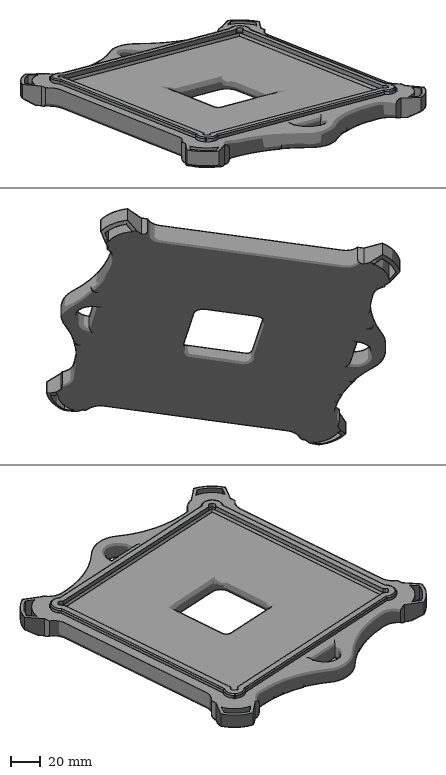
import cadquery as cq
import math

plate_half = 90.0
plate_top = 14.0
top_round = 4.0
bottom_round = 3.0

overall_width = 205.4
ear_tip = (87.5, overall_width / 2)
ear_root = (76.4, 95.0)
shoulder_start = 72.2
neck_end = 62.8
ear_centre = (77.0, 77.0)
slot_wall = 2.5
slot_inner_radius = 20.0
ear_bevel_depth = 7.0
ear_bevel_height = 4.0

tab_reach = 111.0
tab_radius = 20.0
flank_radius = 75.0
tab_hole_radius = 11.0
tab_bottom_round = 4.0
tab_round_half_length = 28.5

tray_half = 77.7
tray_floor = 12.0
tray_wall_run = 0.9
rim_top = 17.0
rim_width = 5.0
rim_bevel = 0.9
relief_offset = 77.0
relief_radius = 2.5

window_half = 23.5
window_top_round = 6.5
window_bottom_round = 4.0
window_corner_radius = 6.2

ear_radius = math.dist(ear_centre, ear_tip)
neck_run = shoulder_start - neck_end
neck_rise = ear_root[1] - plate_half
neck_radius = (neck_run ** 2 + neck_rise ** 2) / (2 * neck_rise)
neck_centre = (neck_end, plate_half + neck_radius)
tab_centre = (tab_reach - tab_radius, 0)
flank_x = plate_half + flank_radius
flank_y = math.sqrt((flank_radius + tab_radius) ** 2 - (flank_x - tab_centre[0]) ** 2)
flank_centre = (flank_x, flank_y)
tab_share = tab_radius / (tab_radius + flank_radius)
tab_joint = (tab_centre[0] + tab_share * (flank_x - tab_centre[0]), tab_share * flank_y)


def swap(point):
    """Mirror a point about the diagonal X = Y."""
    return (point[1], point[0])


def arc_middle(centre, start, end):
    """Middle point of the short arc from start to end about a centre."""
    chord_x = (start[0] + end[0]) / 2 - centre[0]
    chord_y = (start[1] + end[1]) / 2 - centre[1]
    stretch = math.dist(centre, start) / math.hypot(chord_x, chord_y)
    return (centre[0] + stretch * chord_x, centre[1] + stretch * chord_y)


def mirrored(solid):
    """Join a solid of the +X +Y quarter with its three mirror images."""
    pair = solid.union(solid.mirror("YZ"))
    return pair.union(pair.mirror("XZ")).clean()


def square(half, bottom, top):
    """Square block centred on the Z axis."""
    return cq.Workplane("XY", origin=(0, 0, bottom)).rect(2 * half, 2 * half).extrude(top - bottom)


def edges_within(half_x, half_y, z):
    """Selector of edges whose centres lie in a flat box at height z."""
    margin = 0.2
    return cq.selectors.BoxSelector((-half_x, -half_y, z - margin), (half_x, half_y, z + margin))


def plate_quarter():
    """The +X +Y quarter of the plate with its ear and half of a tab."""
    neck_start = (neck_end, plate_half)
    shoulder = (shoulder_start, ear_root[1])
    tab_end = (tab_reach, 0)
    return (
        cq.Workplane("XY")
        .lineTo(0, plate_half)
        .lineTo(*neck_start)
        .threePointArc(arc_middle(neck_centre, neck_start, shoulder), shoulder)
        .lineTo(*ear_root)
        .lineTo(*ear_tip)
        .threePointArc(arc_middle(ear_centre, ear_tip, swap(ear_tip)), swap(ear_tip))
        .lineTo(*swap(ear_root))
        .lineTo(*swap(shoulder))
        .threePointArc(swap(arc_middle(neck_centre, neck_start, shoulder)), swap(neck_start))
        .lineTo(plate_half, flank_y)
        .threePointArc(arc_middle(flank_centre, (plate_half, flank_y), tab_joint), tab_joint)
        .threePointArc(arc_middle(tab_centre, tab_joint, tab_end), tab_end)
        .close()
        .extrude(plate_top)
    )


def tab_holes():
    """D-shaped holes through both tabs, flat side in line with the plate edge."""
    hole = (
        cq.Workplane("XY")
        .moveTo(plate_half, -tab_hole_radius)
        .threePointArc((plate_half + tab_hole_radius, 0), (plate_half, tab_hole_radius))
        .close()
        .extrude(plate_top)
    )
    return hole.union(hole.mirror("YZ"))


def rounded_plate(side_bottom_round):
    """Plate with the edges between the ears and around the tab holes rounded."""
    beyond_tab = tab_reach + 2.2
    beyond_end = plate_half + 2.2
    plate = mirrored(plate_quarter()).cut(tab_holes())
    plate = plate.edges(edges_within(beyond_tab, shoulder_start, plate_top)).fillet(top_round)
    plate = plate.edges(edges_within(beyond_tab, shoulder_start, 0)).fillet(side_bottom_round)
    return plate.edges(edges_within(shoulder_start, beyond_end, 0)).fillet(bottom_round)


def plate_body():
    """Plate whose lower side edges are rounded more strongly near the tabs."""
    zone = cq.Workplane("XY").box(3 * tab_reach, 2 * tab_round_half_length, 3 * plate_top)
    ends = rounded_plate(bottom_round).cut(zone)
    middle = rounded_plate(tab_bottom_round).intersect(zone)
    return ends.union(middle)


def ear_bevel():
    """Conical cut under an ear tip, coaxial with the ear's outer arc."""
    overcut = 2.2
    slope = ear_bevel_height / ear_bevel_depth
    inner = ear_radius - ear_bevel_depth - overcut
    outer = ear_radius + overcut
    low = -slope * overcut
    high = ear_bevel_height + slope * overcut
    return (
        cq.Workplane("XZ")
        .polyline([(inner, low), (outer, high), (outer, low)])
        .close()
        .revolve(90, (0, 0), (0, 1))
        .translate((*ear_centre, 0))
    )


def ear_slot():
    """Strap slot that leaves an even wall inside the ear outline."""
    beyond_tip = (2 * ear_tip[0] - ear_root[0], 2 * ear_tip[1] - ear_root[1])
    between_walls = (
        cq.Workplane("XY")
        .polyline([ear_root, beyond_tip, swap(beyond_tip), swap(ear_root)])
        .close()
        .offset2D(-slot_wall)
        .extrude(plate_top)
    )
    ring = (
        cq.Workplane("XY")
        .center(*ear_centre)
        .circle(ear_radius - slot_wall)
        .circle(slot_inner_radius)
        .extrude(plate_top)
    )
    return between_walls.intersect(ring)


def lobed_square(half, lobe_radius, bottom, top):
    """Square block with a round lobe standing out at each corner."""
    lobes = (
        cq.Workplane("XY", origin=(0, 0, bottom))
        .rect(2 * relief_offset, 2 * relief_offset, forConstruction=True)
        .vertices()
        .circle(lobe_radius)
        .extrude(top - bottom)
    )
    return square(half, bottom, top).union(lobes)


def rim():
    """Raised frame with a bevelled outer edge, following the corner reliefs."""
    outside = lobed_square(tray_half + rim_width, relief_radius + rim_width, plate_top, rim_top)
    inside = lobed_square(tray_half, relief_radius, plate_top, rim_top)
    return outside.faces(">Z").chamfer(rim_bevel).cut(inside)


def tray():
    """Sunken square below the rim with sloping walls."""
    depth = plate_top - tray_floor
    return (
        cq.Workplane("XY", origin=(0, 0, plate_top))
        .rect(2 * tray_half, 2 * tray_half)
        .extrude(-depth, taper=math.degrees(math.atan(tray_wall_run / depth)))
    )


def with_window(body):
    """Cut the central window and round its edges and corners."""
    margin = 0.2
    reach = window_half + margin
    body = body.cut(square(window_half, 0, plate_top))
    body = body.edges(edges_within(reach, reach, tray_floor)).fillet(window_top_round)
    corners = cq.selectors.BoxSelector((-reach, -reach, margin), (reach, reach, tray_floor))
    body = body.edges("|Z").edges(corners).fillet(window_corner_radius)
    return body.edges(edges_within(reach, reach, 0)).fillet(window_bottom_round)


result = with_window(plate_body().cut(tray()))
result = result.cut(mirrored(ear_bevel())).cut(mirrored(ear_slot()))
result = result.union(rim())